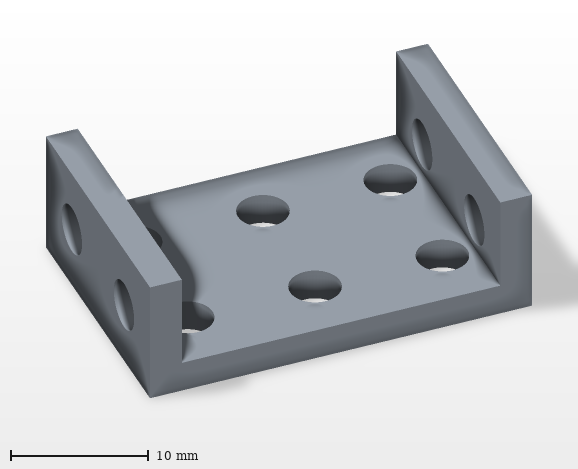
import cadquery as cq

length = 30.0
cells_long = 3
cells_wide = 2
pitch = length / cells_long
width = cells_wide * pitch
height = pitch
wall = pitch / 4
hole_diameter = 3.9


def channel():
    """U-shaped channel: a floor with an upright flange at each Y end."""
    block = cq.Workplane("XY").box(width, length, height)
    cavity = (
        cq.Workplane("XY")
        .box(width, length - 2 * wall, height)
        .translate((0, 0, wall))
    )
    return block.cut(cavity)


def floor_holes():
    """Vertical drills, one at the centre of each grid cell of the floor."""
    return (
        cq.Workplane("XY")
        .rarray(pitch, pitch, cells_wide, cells_long)
        .circle(hole_diameter / 2)
        .extrude(height, both=True)
    )


def flange_holes():
    """Drills along Y that pass through both flanges at mid height."""
    return (
        cq.Workplane("XZ")
        .rarray(pitch, pitch, cells_wide, 1)
        .circle(hole_diameter / 2)
        .extrude(length, both=True)
    )


result = channel().cut(floor_holes()).cut(flange_holes())